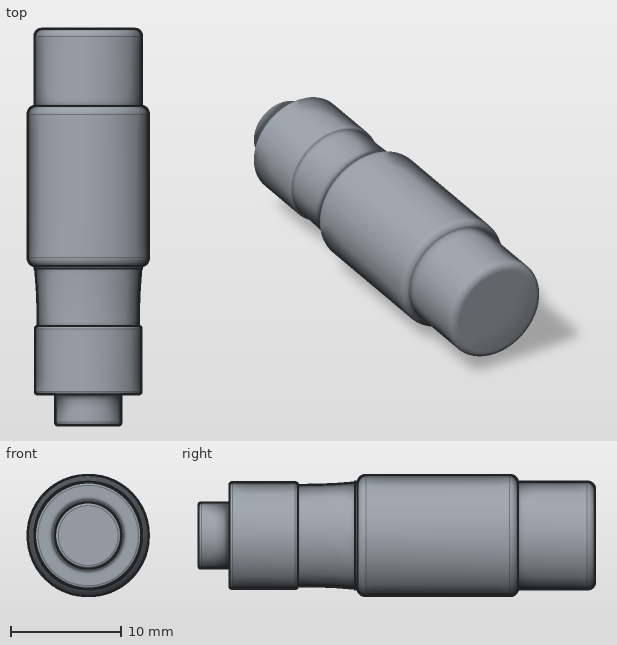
import cadquery as cq

total_length = 36.0
collar_front = 2.8
collar_back = 9.05
neck_back = 14.22
body_front = 14.45
body_back = 29.0

nose_radius = 6.0 / 2
collar_radius = 9.7 / 2
shaft_radius = 9.8 / 2
body_radius = 11.0 / 2
neck_front_radius = 4.6
neck_middle_radius = 4.65
neck_back_radius = 4.82

small_fillet = 0.3
tail_fillet = 0.72
body_fillet = 0.8


def cylinder_along_y(start, end, radius):
    """Cylinder along +Y between two stations."""
    return cq.Workplane("XZ", origin=(0, start, 0)).circle(radius).extrude(start - end)


def make_neck():
    """Revolved waist with a gently hollow side, reaching into the collar and the body."""
    neck_middle = (collar_back + neck_back) / 2
    collar_core = (collar_front + collar_back) / 2
    body_core = (body_front + body_back) / 2
    return (
        cq.Workplane("XY")
        .moveTo(0, collar_core)
        .lineTo(neck_front_radius, collar_core)
        .lineTo(neck_front_radius, collar_back)
        .threePointArc((neck_middle_radius, neck_middle), (neck_back_radius, neck_back))
        .lineTo(neck_back_radius, body_core)
        .lineTo(0, body_core)
        .close()
        .revolve(360, (0, 0, 0), (0, 1, 0))
    )


nose = cylinder_along_y(0, collar_front, nose_radius).faces("<Y").edges().fillet(small_fillet)
collar = cylinder_along_y(collar_front, collar_back, collar_radius).edges("%CIRCLE").fillet(small_fillet)
body = cylinder_along_y(body_front, body_back, body_radius).edges("%CIRCLE").fillet(body_fillet)

shaft = cylinder_along_y(neck_back, total_length, shaft_radius)
shaft = shaft.faces(">Y").edges().fillet(tail_fillet)

part = nose.union(collar).union(make_neck()).union(body).union(shaft)
result = part.translate((0, -total_length / 2, 0))